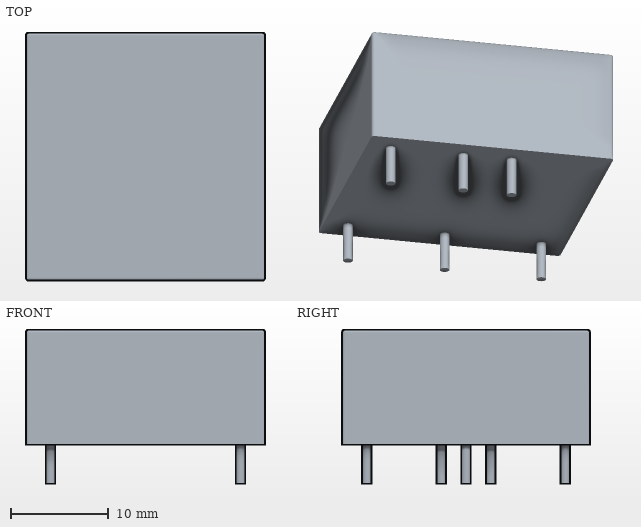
import cadquery as cq

body_width = 24.5
body_depth = 25.4
overall_height = 15.8
edge_radius = 0.3

pin_diameter = 1.0
pin_length = 4.0
row_spacing = 19.45
pin_pitch = 2.55

body_height = overall_height - pin_length

left_row = (-1, 1, 4)
right_row = (-4, 0, 4)


def make_body():
    """Block with rounded upright and top edges and a sharp base."""
    block = cq.Workplane("XY").box(body_width, body_depth, body_height, centered=(True, True, False))
    return block.edges("|Z or >Z").fillet(edge_radius)


def make_pins(row_x, row):
    """One row of pins hanging below the body."""
    places = [(row_x, step * pin_pitch) for step in row]
    return cq.Workplane("XY").pushPoints(places).circle(pin_diameter / 2).extrude(-pin_length)


result = (
    make_body()
    .union(make_pins(-row_spacing / 2, left_row))
    .union(make_pins(row_spacing / 2, right_row))
)